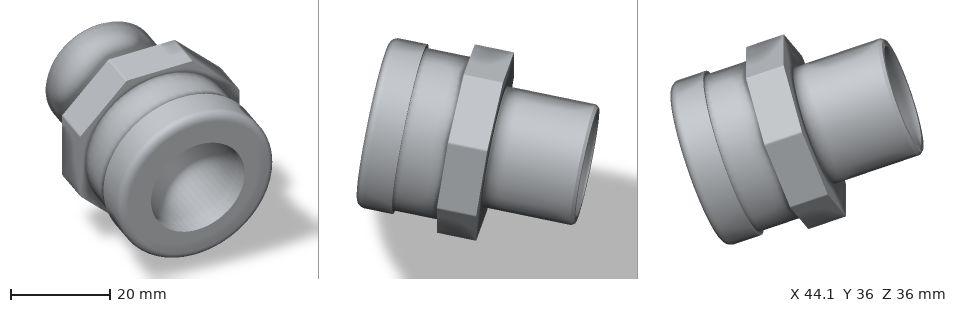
import cadquery as cq

total_length = 44.05
bore_diameter = 21.2

spigot_diameter = 24.9
spigot_length = 18.95
spigot_chamfer_length = 0.65
spigot_chamfer_depth = 0.5

nut_across_flats = 36.0
nut_width = 8.1
nut_corner_radius = 0.65

neck_diameter = 33.5
neck_length = 9.43

collar_diameter = 35.0
collar_fillet = 1.7

nut_start = spigot_length
neck_start = nut_start + nut_width
collar_start = neck_start + neck_length
collar_length = total_length - collar_start


def cylinder(start, length, diameter):
    """Solid cylinder along +X."""
    return cq.Workplane("YZ", origin=(start, 0, 0)).circle(diameter / 2).extrude(length)


def octagonal_nut():
    """Octagon with flats facing Y and Z and softened corners."""
    return (
        cq.Workplane("YZ", origin=(nut_start, 0, 0))
        .polygon(8, nut_across_flats, circumscribed=True)
        .extrude(nut_width)
        .edges("|X")
        .fillet(nut_corner_radius)
    )


def chamfered_spigot():
    """Tube body whose free end has a slightly elongated lead-in chamfer."""
    radius = spigot_diameter / 2
    return (
        cq.Workplane("XY")
        .moveTo(0, 0)
        .lineTo(0, radius - spigot_chamfer_depth)
        .lineTo(spigot_chamfer_length, radius)
        .lineTo(spigot_length, radius)
        .lineTo(spigot_length, 0)
        .close()
        .revolve(360, (0, 0, 0), (1, 0, 0))
    )


spigot = chamfered_spigot()
neck = cylinder(neck_start, neck_length, neck_diameter)
collar = cylinder(collar_start, collar_length, collar_diameter).faces(">X").edges().fillet(collar_fillet)
bore = cylinder(0, total_length, bore_diameter)

result = spigot.union(octagonal_nut()).union(neck).union(collar).cut(bore)